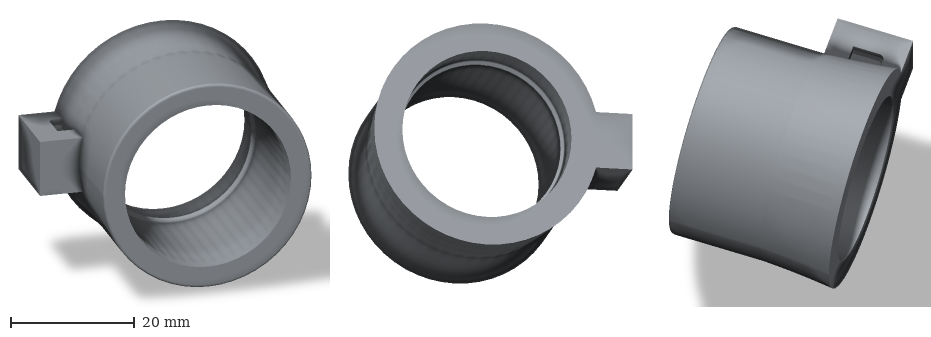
import cadquery as cq

length = 27.8
flare_length = 12.18
flare_radius = 18.55
body_radius = 17.5
flare_mid_sag = 0.13
rim_round = 0.45

bore_radius = 13.9
ridge_height = 0.6
ridge_start = 5.5
ridge_run = 0.5
ridge_crest = 0.3

lug_length = 12.9
lug_height = 9.32
lug_half_height = lug_height / 2
overall_width = 42.55
lug_reach = overall_width - flare_radius

pocket_start = 3.45
pocket_end = 8.85
pocket_reach = 19.95
pocket_depth = 1.55
pocket_corner_radius = 0.95
pocket_floor_chamfer = 0.45


def ring():
    """Full ring: concave flare, straight body, and a bevelled ridge inside the bore."""
    flare_mid = (flare_length / 2, (flare_radius + body_radius) / 2 - flare_mid_sag)
    crest_radius = bore_radius - ridge_height
    crest_start = ridge_start + ridge_run
    crest_end = crest_start + ridge_crest
    shell = (
        cq.Workplane("XY")
        .moveTo(0, bore_radius)
        .lineTo(0, flare_radius)
        .threePointArc(flare_mid, (flare_length, body_radius))
        .lineTo(length, body_radius)
        .lineTo(length, bore_radius)
        .lineTo(crest_end + ridge_run, bore_radius)
        .lineTo(crest_end, crest_radius)
        .lineTo(crest_start, crest_radius)
        .lineTo(ridge_start, bore_radius)
        .close()
        .revolve(360, (0, 0, 0), (1, 0, 0))
    )
    return shell.faces(">X").edges(cq.selectors.RadiusNthSelector(-1)).fillet(rim_round)


def lug(bottom, top):
    """Clamping lug on the -Y side, starting inside the ring wall."""
    root = (bore_radius + body_radius) / 2
    return cq.Workplane("XY").box(
        lug_length, lug_reach - root, top - bottom, centered=False
    ).translate((0, -lug_reach, bottom))


def lug_pocket():
    """Pocket with a rounded, chamfered corner at its -X end and a square +X end."""
    overrun = 2 * pocket_floor_chamfer
    floor = lug_half_height - pocket_depth
    cavity = (
        cq.Workplane("XY", origin=(0, 0, floor))
        .moveTo(pocket_start, -pocket_reach)
        .lineTo(pocket_end + overrun, -pocket_reach)
        .lineTo(pocket_end + overrun, -bore_radius)
        .lineTo(pocket_start, -bore_radius)
        .close()
        .extrude(pocket_depth)
        .edges("|Z and <X and <Y").fillet(pocket_corner_radius)
        .faces("<Z").edges().chamfer(pocket_floor_chamfer)
    )
    return cavity.intersect(slab(pocket_start, pocket_end, 0, lug_half_height))


def slab(x_start, x_end, bottom, top):
    """Block spanning the full part width between the given X and Z limits."""
    return cq.Workplane("XY").box(
        x_end - x_start, 2 * lug_reach, top - bottom, centered=False
    ).translate((x_start, -lug_reach, bottom))


def upper_half():
    half_ring = ring().intersect(slab(0, length, 0, flare_radius))
    return half_ring.union(lug(0, lug_half_height).cut(lug_pocket()))


def lower_half():
    half_ring = ring().intersect(slab(0, length, -flare_radius, 0))
    return half_ring.union(lug(-lug_half_height, 0))


result = cq.Compound.makeCompound([upper_half().val(), lower_half().val()])